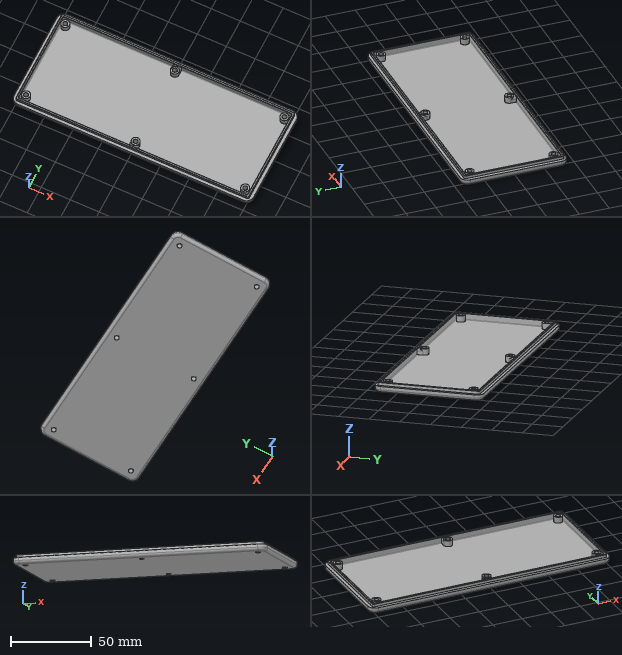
import cadquery as cq

FLOOR_THICKNESS = 2.0
WEB_TOP = 5.5
WEB_DROP = 0.53
HEIGHT = WEB_TOP + WEB_DROP
LIP_HEIGHT = 2.0
PLATE_HEIGHT = HEIGHT - LIP_HEIGHT

LENGTH = 165.7
WIDTH = 70.8
CORNER_RADIUS = 5.0
BOTTOM_ROUND = 2.0

LIP_LENGTH = 161.0
LIP_WIDTH = 66.6
LIP_CORNER_RADIUS = 1.0
RIM_CHAMFER = 0.2

RECESS_LENGTH = 158.0
RECESS_WIDTH = 63.6
RECESS_CORNER_RADIUS = 0.7
FLOOR_FILLET = 0.27

DRAFT = 1.0

BOSS_DIAMETER = 5.6
HOLE_DIAMETER = 3.0
BOSS_PITCH_X = 75.7
BOSS_OFFSET_Y = 28.0
BOSS_CENTERS = [
    (column * BOSS_PITCH_X, side * BOSS_OFFSET_Y)
    for column in (-1, 0, 1)
    for side in (-1, 1)
]

WEB_ROUND = 1.0


def drafted_block(length, width, corner_radius, base_z, height, draft):
    """Block with round corners, sized at base_z and narrowing away from it for a positive draft."""
    outline = cq.Sketch().rect(length, width).vertices().fillet(corner_radius)
    return cq.Workplane("XY", origin=(0, 0, base_z)).placeSketch(outline).extrude(height, taper=draft)


def plate():
    """Plate that is widest at its top face and rounded along its bottom edge."""
    block = drafted_block(LENGTH, WIDTH, CORNER_RADIUS, PLATE_HEIGHT, -PLATE_HEIGHT, DRAFT)
    return block.faces("<Z").edges().fillet(BOTTOM_ROUND)


def lip():
    """Raised block on the plate; the recess turns it into a thin wall."""
    return drafted_block(LIP_LENGTH, LIP_WIDTH, LIP_CORNER_RADIUS, PLATE_HEIGHT, LIP_HEIGHT, DRAFT)


def recess():
    """Cutter that widens upward, with a small fillet around the floor."""
    depth = HEIGHT - FLOOR_THICKNESS
    block = drafted_block(
        RECESS_LENGTH, RECESS_WIDTH, RECESS_CORNER_RADIUS, FLOOR_THICKNESS, depth, -DRAFT
    )
    return block.faces("<Z").edges().fillet(FLOOR_FILLET)


def boss_cylinders(diameter, base_z):
    """Cylinders at all boss centers, from base_z up to the top of the lip."""
    centers = cq.Workplane("XY", origin=(0, 0, base_z)).pushPoints(BOSS_CENTERS)
    return centers.circle(diameter / 2).extrude(HEIGHT - base_z)


def web(side):
    """Round-topped block from a middle boss into the long wall on the given side of Y."""
    wall_y = (RECESS_WIDTH / 2 + LIP_WIDTH / 2) / 2
    web_length = wall_y - BOSS_OFFSET_Y
    center_y = side * (BOSS_OFFSET_Y + web_length / 2)
    block = (
        cq.Workplane("XY", origin=(0, center_y, FLOOR_THICKNESS))
        .rect(BOSS_DIAMETER, web_length)
        .extrude(WEB_TOP - FLOOR_THICKNESS)
    )
    return block.faces(">Z").edges("|Y").fillet(WEB_ROUND)


tray = plate().union(lip()).cut(recess())
tray = tray.faces(">Z").edges().chamfer(RIM_CHAMFER)

result = tray.union(boss_cylinders(BOSS_DIAMETER, FLOOR_THICKNESS))
for side in (-1, 1):
    result = result.union(web(side))
result = result.cut(boss_cylinders(HOLE_DIAMETER, 0))